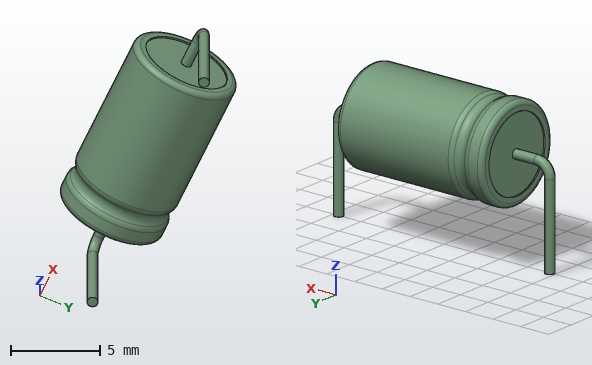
import cadquery as cq
import math


can_length = 10.5
can_radius = 3.15
edge_radius = 0.32

groove_offset = 1.71
groove_depth = 0.25
floor_half_width = 0.38
shoulder_width = 0.33

seal_radius = 2.5
seal_thickness = 0.32
seal_recess = 0.1

overall_length = 15.84
lead_diameter = 0.6
bend_radius = 0.9
lead_bottom = -6.54

can_end = can_length / 2
seal_face = can_end - seal_recess
pocket_depth = seal_recess + seal_thickness
lead_x = (overall_length - lead_diameter) / 2
bend_start_x = lead_x - bend_radius
groove_x = groove_offset - can_end

groove_half_width = floor_half_width + shoulder_width
groove_angle = 2 * math.atan(groove_depth / groove_half_width)
floor_radius = floor_half_width / math.sin(groove_angle)
shoulder_radius = shoulder_width / math.sin(groove_angle)
floor_bottom = can_radius - groove_depth
tangent_height = floor_bottom + floor_radius * (1 - math.cos(groove_angle))
shoulder_mid_dx = groove_half_width - shoulder_radius * math.sin(groove_angle / 2)
shoulder_mid_height = can_radius - shoulder_radius * (1 - math.cos(groove_angle / 2))


def axial_disc(start_x, length, radius):
    """Cylinder around the X axis, running toward +X from start_x."""
    return cq.Workplane("YZ", origin=(start_x, 0, 0)).circle(radius).extrude(length)


def make_can():
    """Revolved can with rounded ends, a rolled groove and a seal pocket in each end."""
    corner_inset = edge_radius * (1 - math.sqrt(0.5))
    profile = (
        cq.Workplane("XZ")
        .moveTo(-can_end, 0)
        .lineTo(-can_end, can_radius - edge_radius)
        .threePointArc(
            (-can_end + corner_inset, can_radius - corner_inset),
            (-can_end + edge_radius, can_radius),
        )
        .lineTo(groove_x - groove_half_width, can_radius)
        .threePointArc(
            (groove_x - shoulder_mid_dx, shoulder_mid_height),
            (groove_x - floor_half_width, tangent_height),
        )
        .threePointArc(
            (groove_x, floor_bottom),
            (groove_x + floor_half_width, tangent_height),
        )
        .threePointArc(
            (groove_x + shoulder_mid_dx, shoulder_mid_height),
            (groove_x + groove_half_width, can_radius),
        )
        .lineTo(can_end - edge_radius, can_radius)
        .threePointArc(
            (can_end - corner_inset, can_radius - corner_inset),
            (can_end, can_radius - edge_radius),
        )
        .lineTo(can_end, 0)
        .close()
    )
    body = profile.revolve(360, (0, 0, 0), (1, 0, 0))
    for pocket_start in (-can_end, can_end - pocket_depth):
        body = body.cut(axial_disc(pocket_start, pocket_depth, seal_radius))
    return body


def make_seal(side):
    """Seal disc filling the floor of one end pocket; side is -1 or +1 along X."""
    start_x = min(side * seal_face, side * (seal_face - seal_thickness))
    return axial_disc(start_x, seal_thickness, seal_radius)


def make_lead(side):
    """Round wire from the seal face outward, then bent down; side is -1 or +1 along X."""
    bend_inset = bend_radius * (1 - math.sqrt(0.5))
    path = (
        cq.Workplane("XZ")
        .moveTo(side * seal_face, 0)
        .lineTo(side * bend_start_x, 0)
        .threePointArc(
            (side * (lead_x - bend_inset), -bend_inset),
            (side * lead_x, -bend_radius),
        )
        .lineTo(side * lead_x, lead_bottom)
    )
    section = cq.Workplane("YZ", origin=(side * seal_face, 0, 0)).circle(lead_diameter / 2)
    return section.sweep(path)


can = make_can()
seals = [make_seal(side) for side in (-1, 1)]
leads = [make_lead(side) for side in (-1, 1)]

result = cq.Compound.makeCompound([body.val() for body in [can, *seals, *leads]])